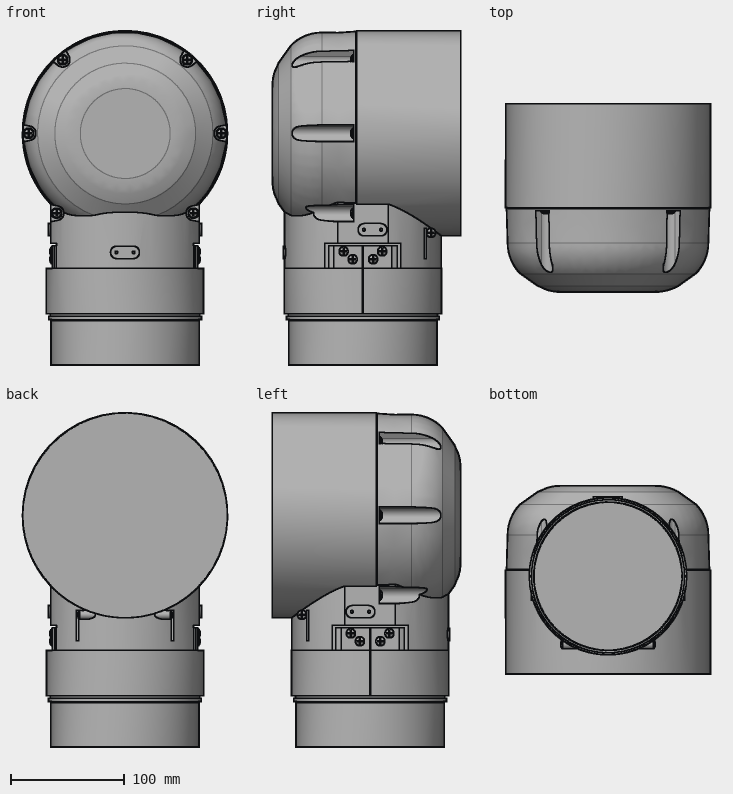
import cadquery as cq
import math


barrel_radius = 90.3
barrel_rear_y = 86.2
barrel_front_y = -5.4
seam_width = 0.8
seam_radius = 89.0
cover_rear_y = barrel_front_y - seam_width
cover_rear_radius = 89.7
cover_draft_end = (88.8, -36.3)
cover_shoulder_end = (77.2, -63.5)
cover_cone_end = (62.0, -74.3)
cover_face_radius = 39.6
cover_face_y = -79.8
shoulder_arc_radius = 38.0
face_arc_radius = 42.0

neck_radius = 69.1
neck_top_z = -60.0
neck_flat_x = 65.4
collar_radius = 69.3
collar_top_z = -119.0
collar_bottom_z = -159.0
groove_radius = 65.9
band_radius = 67.4
band_top_z = -161.0
band_bottom_z = -164.0
undercut_radius = 64.8
undercut_bottom_z = -164.8
sleeve_radius = 65.4
sleeve_bottom_z = -204.0

recess_flat_x = 60.4
recess_top_z = -96.9
lug_radius = 69.0
lug_flat_x = 64.1
lug_half_width = 30.2
lug_top_z = -98.9
split_gap = 1.0
lug_screw_places = [(17.0, -104.0), (9.0, -110.9)]

badge_length = 25.5
badge_width = 11.0
badge_pin_spacing = 15.2
badge_pin_diameter = 2.3
badge_pin_depth = 1.0
badge_embed = 1.0
side_badge_x = 67.4
side_badge_y = 8.5
side_badge_z = -84.9
front_badge_y = -70.0
front_badge_z = -104.8

slot_radius = 6.4
slot_flare = 12.0
slot_reach = 25.0
slot_floor_y = -8.1
slot_pitch_radius = 84.8
upper_slot_angle = 49.7
lower_slot_x = 60.2
lower_slot_z = -70.3

screw_radius = 4.0
screw_rim_height = 0.3
screw_height = 2.2
washer_radius = 4.5
washer_height = 0.6
cross_length = 5.0
cross_width = 0.9
cross_depth = 1.0

notch_floor_x = 40.6
notch_wall_y = 54.2
notch_top_z = -83.5
notch_bottom_z = -110.5
rear_screw_y = 60.0
rear_screw_z = -87.6
rear_screw_face_x = 41.8
rear_screw_root_x = 25.0


def disc(radius, z_bottom, z_top):
    """Solid cylinder on the Z axis."""
    return cq.Workplane("XY").workplane(offset=z_bottom).circle(radius).extrude(z_top - z_bottom)


def block(x_range, y_range, z_range):
    """Box spanning the three given ranges."""
    spans = (x_range, y_range, z_range)
    sizes = [high - low for low, high in spans]
    low_corner = tuple(low for low, high in spans)
    return cq.Workplane("XY").box(*sizes, centered=False).translate(low_corner)


def on_both_sides(solid):
    """The solid together with its mirror image across X = 0."""
    return solid.union(solid.mirror("YZ"))


def arc_middle(start, end, radius):
    """Middle point of an arc that bulges away from the head centre."""
    chord_x = end[0] - start[0]
    chord_y = end[1] - start[1]
    chord = math.hypot(chord_x, chord_y)
    rise = radius - math.sqrt(radius**2 - chord**2 / 4)
    return (
        (start[0] + end[0]) / 2 - rise * chord_y / chord,
        (start[1] + end[1]) / 2 + rise * chord_x / chord,
    )


def make_head():
    face_edge = (cover_face_radius, cover_face_y)
    return (
        cq.Workplane("XY")
        .moveTo(0, barrel_rear_y)
        .lineTo(barrel_radius, barrel_rear_y)
        .lineTo(barrel_radius, barrel_front_y)
        .lineTo(seam_radius, barrel_front_y)
        .lineTo(seam_radius, cover_rear_y)
        .lineTo(cover_rear_radius, cover_rear_y)
        .lineTo(*cover_draft_end)
        .threePointArc(
            arc_middle(cover_draft_end, cover_shoulder_end, shoulder_arc_radius),
            cover_shoulder_end,
        )
        .lineTo(*cover_cone_end)
        .threePointArc(arc_middle(cover_cone_end, face_edge, face_arc_radius), face_edge)
        .lineTo(0, cover_face_y)
        .close()
        .revolve(360, (0, 0, 0), (0, 1, 0))
    )


def make_neck():
    """Upper neck with side flats, and the deeper flat recesses that hold the clamp lugs."""
    upper = disc(neck_radius, collar_top_z, neck_top_z)
    flat_span = (-neck_radius, neck_radius)
    flats = block((-neck_flat_x, neck_flat_x), flat_span, (recess_top_z, neck_top_z))
    recesses = block((-recess_flat_x, recess_flat_x), flat_span, (collar_top_z, recess_top_z))
    return upper.intersect(flats.union(recesses))


def make_lower_body():
    """Collar, groove, band, undercut and sleeve below the neck."""
    collar = disc(collar_radius, collar_bottom_z, collar_top_z)
    groove = disc(groove_radius, band_top_z, collar_bottom_z)
    band = disc(band_radius, band_bottom_z, band_top_z)
    undercut = disc(undercut_radius, undercut_bottom_z, band_bottom_z)
    sleeve = disc(sleeve_radius, sleeve_bottom_z, undercut_bottom_z)
    return collar.union(groove).union(band).union(undercut).union(sleeve)


def make_lugs():
    """Upward extensions of the collar, trimmed flat on the outside."""
    lug_span = block(
        (recess_flat_x, lug_flat_x),
        (-lug_half_width, lug_half_width),
        (collar_top_z, lug_top_z),
    )
    return on_both_sides(disc(lug_radius, collar_top_z, lug_top_z).intersect(lug_span))


def make_split_gaps():
    """Gaps that divide the collar and its lugs into two clamp halves."""
    return on_both_sides(
        block(
            (recess_flat_x, collar_radius),
            (-split_gap / 2, split_gap / 2),
            (collar_bottom_z, lug_top_z),
        )
    )


def make_slot(x, z, opening_angle):
    """Round-bottomed slot along Y whose walls flare towards the opening direction."""
    flare = math.radians(slot_flare)
    tangent_x = -slot_radius * math.sin(flare)
    tangent_z = slot_radius * math.cos(flare)
    mouth_z = tangent_z + (slot_reach - tangent_x) * math.tan(flare)
    return (
        cq.Workplane("XZ")
        .moveTo(tangent_x, tangent_z)
        .threePointArc((-slot_radius, 0), (tangent_x, -tangent_z))
        .lineTo(slot_reach, -mouth_z)
        .lineTo(slot_reach, mouth_z)
        .close()
        .extrude(slot_floor_y - cover_face_y)
        .rotate((0, 0, 0), (0, 1, 0), -opening_angle)
        .translate((x, slot_floor_y, z))
    )


def make_screw():
    """Domed cross-recess screw head standing on the XY plane, sunk slightly below it."""
    dome_height = screw_height - screw_rim_height
    rim = (screw_radius, screw_rim_height)
    dome_radius = (screw_radius**2 + dome_height**2) / (2 * dome_height)
    dome_middle_x = screw_radius / 2
    dome_drop = dome_radius - math.sqrt(dome_radius**2 - dome_middle_x**2)
    head = (
        cq.Workplane("XZ")
        .moveTo(0, -screw_rim_height)
        .lineTo(screw_radius, -screw_rim_height)
        .lineTo(*rim)
        .threePointArc((dome_middle_x, screw_height - dome_drop), (0, screw_height))
        .close()
        .revolve(360, (0, 0, 0), (0, 1, 0))
    )
    cross = (
        cq.Workplane("XY")
        .workplane(offset=screw_height - cross_depth)
        .rect(cross_length, cross_width)
        .extrude(cross_depth)
        .union(
            cq.Workplane("XY")
            .workplane(offset=screw_height - cross_depth)
            .rect(cross_width, cross_length)
            .extrude(cross_depth)
        )
    )
    return head.cut(cross)


def facing_front(solid):
    """Turn a feature built along +Z to face -Y."""
    return solid.rotate((0, 0, 0), (1, 0, 0), 90)


def facing_right(solid):
    """Turn a feature built along +Z to face +X, keeping its X direction along Y."""
    return facing_front(solid).rotate((0, 0, 0), (0, 0, 1), 90)


def make_badge(thickness):
    """Oblong plate with two small blind holes, its outer face on the XY plane."""
    plate = cq.Workplane("XY").slot2D(badge_length, badge_width).extrude(-thickness)
    holes = (
        cq.Workplane("XY")
        .pushPoints([(-badge_pin_spacing / 2, 0), (badge_pin_spacing / 2, 0)])
        .circle(badge_pin_diameter / 2)
        .extrude(-badge_pin_depth)
    )
    return plate.cut(holes)


def make_badges():
    front_rim_y = math.sqrt(neck_radius**2 - (badge_length / 2) ** 2)
    front_plate = make_badge(-front_badge_y - front_rim_y + badge_embed)
    side_plate = make_badge(side_badge_x - neck_flat_x + badge_embed)
    front = facing_front(front_plate).translate((0, front_badge_y, front_badge_z))
    side = facing_right(side_plate).translate((side_badge_x, side_badge_y, side_badge_z))
    return front.union(on_both_sides(side))


def make_lug_screws():
    screws = cq.Workplane("XY")
    for offset_y, z in lug_screw_places:
        for y in (-offset_y, offset_y):
            screws = screws.union(facing_right(make_screw()).translate((lug_flat_x, y, z)))
    return on_both_sides(screws)


def make_notches():
    """Shallow step-shaped notches on the rear flanks of the neck."""
    return on_both_sides(
        block(
            (notch_floor_x, neck_radius),
            (notch_wall_y, neck_radius),
            (notch_bottom_z, notch_top_z),
        )
    )


def make_rear_screws():
    head_base_x = rear_screw_face_x - screw_height
    stem = cq.Workplane("XY").circle(screw_radius).extrude(rear_screw_root_x - head_base_x)
    screw = facing_right(make_screw().union(stem))
    return on_both_sides(screw.translate((head_base_x, rear_screw_y, rear_screw_z)))


upper_angle = math.radians(upper_slot_angle)
right_slot_places = [
    (
        slot_pitch_radius * math.cos(upper_angle),
        slot_pitch_radius * math.sin(upper_angle),
        upper_slot_angle,
    ),
    (slot_pitch_radius, 0, 0),
    (lower_slot_x, lower_slot_z, 0),
]

result = make_head().union(make_neck()).cut(make_notches())
result = result.union(make_lower_body()).union(make_lugs()).cut(make_split_gaps())

for slot_x, slot_z, slot_angle in right_slot_places:
    result = result.cut(on_both_sides(make_slot(slot_x, slot_z, slot_angle)))
    washer = cq.Workplane("XY").circle(washer_radius).extrude(washer_height)
    slot_screw = facing_front(washer.union(make_screw().translate((0, 0, washer_height))))
    result = result.union(on_both_sides(slot_screw.translate((slot_x, slot_floor_y, slot_z))))

result = result.union(make_badges()).union(make_lug_screws()).union(make_rear_screws())